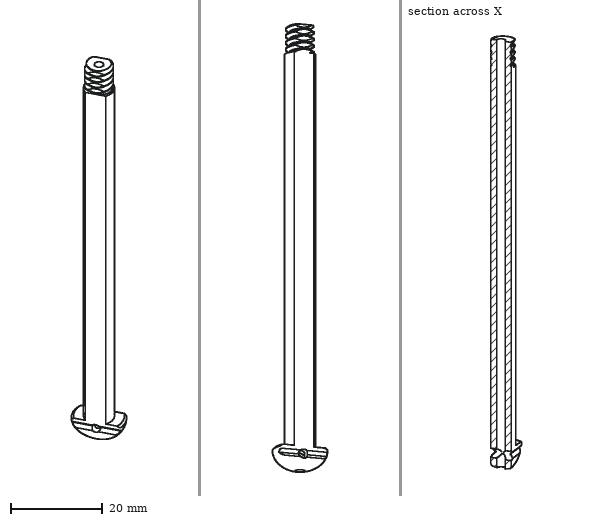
import cadquery as cq
import math

LENGTH = 100.6
THICKNESS = 5.0
BORE_DIAMETER = 2.0

SHANK_RADIUS = 3.4
SHANK_TOP = 94.3

HEAD_WIDTH = 12.2
HEAD_RADIUS = HEAD_WIDTH / 2
HEAD_HEIGHT = 5.0
RIM_CHAMFER = 0.5
DOME_EDGE_ROUND = 0.7

GROOVE_Z = 3.3
GROOVE_DEPTH = 0.75

ROOT_RADIUS = 2.3
CREST_DIAMETER = 6.3
CREST_RADIUS = CREST_DIAMETER / 2
PITCH = 1.5
RIDGE_BASE = 1.3
RIDGE_CREST = 0.15
CREST_BELOW_TIP = 0.5
TURNS = 6
OVERLAP = 0.2
SEAM_ANGLE = 100


def slab(bottom, top):
    """Block between the two flats, wider than the head."""
    return (
        cq.Workplane("XY")
        .workplane(offset=bottom)
        .rect(2 * HEAD_WIDTH, THICKNESS)
        .extrude(top - bottom)
    )


def make_head():
    rim_z = HEAD_HEIGHT - RIM_CHAMFER
    mouth_ratio = BORE_DIAMETER / 2 / HEAD_RADIUS
    dome_depth = rim_z / math.sqrt(1 - mouth_ratio**2)
    profile = (
        cq.Workplane("XZ")
        .moveTo(0, rim_z - dome_depth)
        .ellipseArc(HEAD_RADIUS, dome_depth, 270, 360)
        .lineTo(HEAD_RADIUS - RIM_CHAMFER, HEAD_HEIGHT)
        .lineTo(0, HEAD_HEIGHT)
        .close()
    )
    turned = profile.revolve(360, (0, 0, 0), (0, 1, 0))
    head = turned.intersect(slab(rim_z - dome_depth, HEAD_HEIGHT))
    dome_edges = head.faces("<Y or >Y").edges("<Z")
    head = dome_edges.fillet(DOME_EDGE_ROUND)
    for side in (-1, 1):
        face_y = side * THICKNESS / 2
        groove = (
            cq.Workplane("YZ")
            .moveTo(face_y, GROOVE_Z - GROOVE_DEPTH)
            .lineTo(face_y - side * GROOVE_DEPTH, GROOVE_Z)
            .lineTo(face_y, GROOVE_Z + GROOVE_DEPTH)
            .close()
            .extrude(HEAD_WIDTH, both=True)
        )
        head = head.cut(groove)
    return head


def make_shank():
    bar = (
        cq.Workplane("XY")
        .workplane(offset=HEAD_HEIGHT)
        .circle(SHANK_RADIUS)
        .extrude(SHANK_TOP - HEAD_HEIGHT)
    )
    return bar.intersect(slab(HEAD_HEIGHT, SHANK_TOP))


def make_thread():
    start_z = LENGTH - CREST_BELOW_TIP - (TURNS - 1) * PITCH
    core = (
        cq.Workplane("XY")
        .workplane(offset=SHANK_TOP)
        .circle(ROOT_RADIUS)
        .extrude(LENGTH - SHANK_TOP)
        .rotate((0, 0, 0), (0, 0, 1), SEAM_ANGLE)
    )
    helix = cq.Workplane(cq.Wire.makeHelix(PITCH, TURNS * PITCH, ROOT_RADIUS))
    inner = ROOT_RADIUS - OVERLAP
    ridge = (
        cq.Workplane("XZ")
        .moveTo(inner, -RIDGE_BASE / 2)
        .lineTo(ROOT_RADIUS, -RIDGE_BASE / 2)
        .lineTo(CREST_RADIUS, -RIDGE_CREST / 2)
        .lineTo(CREST_RADIUS, RIDGE_CREST / 2)
        .lineTo(ROOT_RADIUS, RIDGE_BASE / 2)
        .lineTo(inner, RIDGE_BASE / 2)
        .close()
        .sweep(helix, isFrenet=True)
        .translate((0, 0, start_z))
    )
    between_flats = slab(SHANK_TOP, LENGTH)
    return core.intersect(between_flats).union(ridge.intersect(between_flats))


bore = cq.Workplane("XY").circle(BORE_DIAMETER / 2).extrude(LENGTH, both=True)
cross_hole = (
    cq.Workplane("XZ")
    .center(0, GROOVE_Z)
    .circle(BORE_DIAMETER / 2)
    .extrude(THICKNESS, both=True)
)

body = make_head().union(make_shank()).union(make_thread())
result = body.cut(bore).cut(cross_hole)